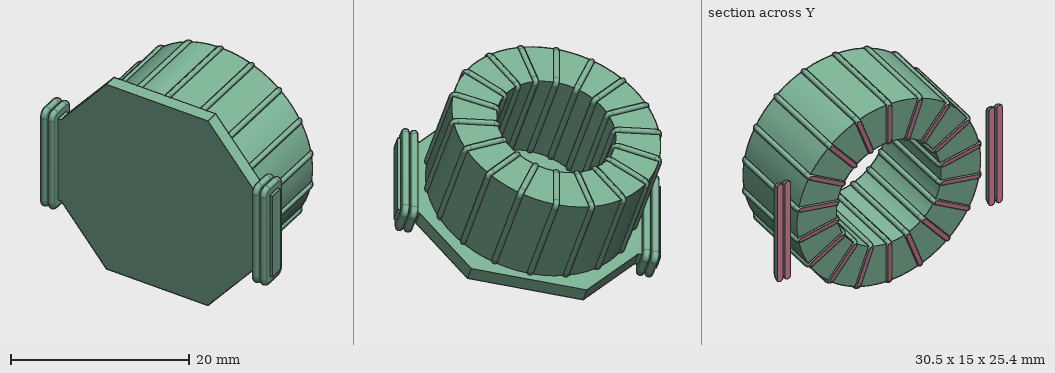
import cadquery as cq

OVERALL_DEPTH = 14.98

PLATE_LENGTH = 30.5
PLATE_SPAN = 25.4
PLATE_THICKNESS = 1.65
OCTAGON_FLAT = 13.42
TAB_HEIGHT = 11.13

TERMINAL_THICKNESS = 0.8
TERMINAL_HEIGHT = 13.48
TERMINAL_OVERHANG = 1.1
TERMINAL_BEND = 0.65
TERMINAL_PITCH = 1.0
TERMINAL_PAIR_X = 14.0

TURN_COUNT = 18
WIRE_DIAMETER = 0.7
WIRE_BEND = 0.5
WINDING_RADIUS = 12.5
WINDING_HOLE_RADIUS = 6.55
WINDING_LENGTH = OVERALL_DEPTH - PLATE_THICKNESS - TERMINAL_OVERHANG

WIRE_RISE = 0.37
CORE_RADIUS = WINDING_RADIUS - WIRE_RISE
CORE_HOLE_RADIUS = WINDING_HOLE_RADIUS + WIRE_RISE
CORE_LENGTH = WINDING_LENGTH - 2 * WIRE_RISE
CORE_FRONT_Y = PLATE_THICKNESS + WIRE_RISE


def rounded_rectangle(length, height, bend):
    """Sketch of a rectangle with rounded corners."""
    return cq.Sketch().rect(length, height).vertices().fillet(bend).reset()


def wire_loop(length, height, diameter, bend):
    """Round wire bent on XY into a rounded rectangle of the given outer size.

    The bend is the corner radius of the wire's centreline.
    """
    centreline = rounded_rectangle(length - diameter, height - diameter, bend)
    path = centreline.wires().val()
    return (
        cq.Workplane("XZ", origin=((length - diameter) / 2, 0, 0))
        .circle(diameter / 2)
        .sweep(path)
    )


def round_edged_bar(length, height, thickness, bend):
    """Wire loop whose inside is filled flat to the full wire thickness."""
    rim = wire_loop(length, height, thickness, bend)
    filling = (
        cq.Workplane("XY")
        .placeSketch(rounded_rectangle(length - thickness, height - thickness, bend))
        .extrude(thickness / 2, both=True)
    )
    return filling.union(rim)


def make_plate():
    half_span = PLATE_SPAN / 2
    half_flat = OCTAGON_FLAT / 2
    half_tab = TAB_HEIGHT / 2
    octagon = (
        cq.Workplane("XZ")
        .polyline(
            [
                (half_flat, half_span),
                (half_span, half_tab),
                (half_span, -half_tab),
                (half_flat, -half_span),
                (-half_flat, -half_span),
                (-half_span, -half_tab),
                (-half_span, half_tab),
                (-half_flat, half_span),
            ]
        )
        .close()
        .extrude(-PLATE_THICKNESS)
    )
    tabs = cq.Workplane("XZ").rect(PLATE_LENGTH, TAB_HEIGHT).extrude(-PLATE_THICKNESS)
    return octagon.union(tabs)


def make_terminal(x):
    """Terminal bar lying in the YZ plane at the given X, centred on the plate's thickness."""
    depth = PLATE_THICKNESS + 2 * TERMINAL_OVERHANG
    bar = round_edged_bar(TERMINAL_HEIGHT, depth, TERMINAL_THICKNESS, TERMINAL_BEND)
    upright = bar.rotate((0, 0, 0), (0, 1, 0), 90)
    return upright.translate((x, PLATE_THICKNESS / 2, 0))


def make_base():
    """Plate and its two pairs of terminals as one solid."""
    base = make_plate()
    for side in (-1, 1):
        for step in (-0.5, 0.5):
            x = side * (TERMINAL_PAIR_X + step * TERMINAL_PITCH)
            base = base.union(make_terminal(x))
    return base


def make_core():
    return (
        cq.Workplane("XZ", origin=(0, CORE_FRONT_Y, 0))
        .circle(CORE_RADIUS)
        .circle(CORE_HOLE_RADIUS)
        .extrude(-CORE_LENGTH)
    )


def make_turn(angle):
    """One wire turn around the core's section, at an angle about the Y axis from +X."""
    width = WINDING_RADIUS - WINDING_HOLE_RADIUS
    middle_radius = (WINDING_RADIUS + WINDING_HOLE_RADIUS) / 2
    middle_y = PLATE_THICKNESS + WINDING_LENGTH / 2
    loop = wire_loop(width, WINDING_LENGTH, WIRE_DIAMETER, WIRE_BEND)
    return loop.translate((middle_radius, middle_y, 0)).rotate((0, 0, 0), (0, 1, 0), angle)


def make_wound_core():
    """Core and all its wire turns as one solid."""
    wound_core = make_core()
    turn_angle = 360 / TURN_COUNT
    for turn in range(TURN_COUNT):
        wound_core = wound_core.union(make_turn((turn + 0.5) * turn_angle))
    return wound_core


base = make_base()
wound_core = make_wound_core()

result = cq.Compound.makeCompound([base.val(), wound_core.val()])